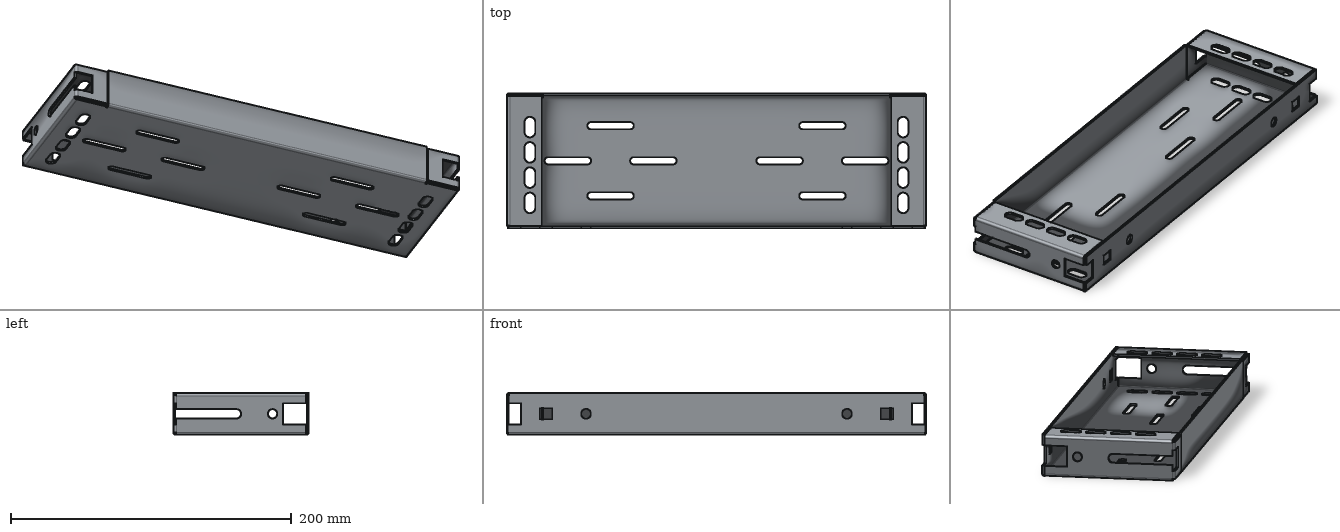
import cadquery as cq

LENGTH = 299.0
WIDTH = 96.5
HEIGHT = 30.0

SHEET = 1.5
INNER_BEND_RADIUS = 0.5
BEND_RADIUS = SHEET + INNER_BEND_RADIUS
FLANGE_DEPTH = 25.0
INNER_WIDTH = WIDTH - 2 * SHEET
PAN_WIDTH = WIDTH - 2 * BEND_RADIUS
MID_HEIGHT = HEIGHT / 2
FULL_X = (-LENGTH / 2, LENGTH / 2)
FULL_Y = (-WIDTH / 2, WIDTH / 2)

FRONT_UPPER_SETBACK = SHEET
FRONT_LOWER_SETBACK = 0.8

RELIEF_WIDTH = 1.0
RELIEF_DEPTH_IN_FLOOR = 1.0

FLOOR_SLOT_LENGTH = 33.0
FLOOR_SLOT_WIDTH = 5.0
FLOOR_SLOT_PITCH = 30.5
FLOOR_SLOT_INNER_X = 45.0
FLOOR_SLOT_ROW_Y = 25.0

END_SLOT_LENGTH = 14.5
END_SLOT_WIDTH = 7.5
END_SLOT_PITCH = 18.0
END_SLOT_COUNT = 4
END_SLOT_INSET = 16.5
END_SLOT_CENTER_Y = -3.0

FRONT_HOLE_DIAMETER = 7.0
FRONT_HOLE_X = 93.0
WINDOW_WIDTH = 9.0
WINDOW_HEIGHT = 8.0
WINDOW_X = 121.5

CORNER_NOTCH_HEIGHT = 15.0
FRONT_NOTCH_DEPTH = 10.0
BACK_NOTCH_DEPTH = 13.5
FRONT_NOTCH_EDGE_Y = -30.0
END_HOLE_DIAMETER = 6.5
END_HOLE_Y = -22.5
WALL_SLOT_HEIGHT = 6.5
WALL_SLOT_TIP_Y = 0.0


def block(x_range, y_range, z_range):
    """Axis-aligned box between the given limits."""
    size = [high - low for low, high in (x_range, y_range, z_range)]
    corner = (x_range[0], y_range[0], z_range[0])
    return cq.Workplane("XY").box(*size, centered=False).translate(corner)


def bent_wall(x_range):
    """Wall on the -Y side with the bend at its foot, over the given stretch of X."""
    outer = block(x_range, FULL_Y, (0, HEIGHT)).edges("|X and <Z").fillet(BEND_RADIUS)
    inner = block(x_range, (-INNER_WIDTH / 2, INNER_WIDTH / 2), (SHEET, HEIGHT))
    inner = inner.edges("|X and <Z").fillet(INNER_BEND_RADIUS)
    return outer.cut(inner).intersect(block(x_range, (-WIDTH / 2, -PAN_WIDTH / 2), (0, HEIGHT)))


def make_pan():
    """Floor, end walls and top flanges, folded in the XZ plane."""
    half_inside = LENGTH / 2 - SHEET
    half_opening = LENGTH / 2 - FLANGE_DEPTH
    across = (-PAN_WIDTH / 2, PAN_WIDTH / 2)
    outer = block(FULL_X, across, (0, HEIGHT)).edges("|Y").fillet(BEND_RADIUS)
    cavity = block((-half_inside, half_inside), across, (SHEET, HEIGHT - SHEET))
    cavity = cavity.edges("|Y").fillet(INNER_BEND_RADIUS)
    opening = block((-half_opening, half_opening), across, (MID_HEIGHT, HEIGHT))
    return outer.cut(cavity).cut(opening)


def make_front_wall():
    """Front wall and its bottom bend; above the corner notch its ends are set back further."""
    lower_half = LENGTH / 2 - FRONT_LOWER_SETBACK
    upper_half = LENGTH / 2 - FRONT_UPPER_SETBACK
    lower = bent_wall((-lower_half, lower_half)).intersect(block(FULL_X, FULL_Y, (0, MID_HEIGHT)))
    upper = bent_wall((-upper_half, upper_half)).intersect(block(FULL_X, FULL_Y, (MID_HEIGHT, HEIGHT)))
    return lower.union(upper)


def make_back_wall():
    """Back wall and its bottom bend, standing between the two relief cuts."""
    half_length = LENGTH / 2 - FLANGE_DEPTH - RELIEF_WIDTH
    return bent_wall((-half_length, half_length)).mirror("XZ")


def make_back_tab(side):
    """Tab folded off the end wall into the plane of the back wall, between floor and flange levels."""
    tab_z = (SHEET, HEIGHT - SHEET)
    half_inside = LENGTH / 2 - SHEET
    outer = block(FULL_X, FULL_Y, tab_z).edges("|Z").fillet(BEND_RADIUS)
    inner = block((-half_inside, half_inside), (-INNER_WIDTH / 2, INNER_WIDTH / 2), tab_z)
    shell = outer.cut(inner.edges("|Z").fillet(INNER_BEND_RADIUS))
    x_range = sorted((side * LENGTH / 2, side * (LENGTH / 2 - FLANGE_DEPTH)))
    return shell.intersect(block(x_range, (PAN_WIDTH / 2, WIDTH / 2), tab_z))


def floor_relief(side):
    """Small notch in the floor edge at the foot of a relief cut."""
    outer_x = LENGTH / 2 - FLANGE_DEPTH
    x_range = sorted((side * outer_x, side * (outer_x - RELIEF_WIDTH)))
    return block(x_range, (PAN_WIDTH / 2 - RELIEF_DEPTH_IN_FLOOR, PAN_WIDTH / 2), (0, SHEET))


def floor_slots(side):
    """Diamond of four long slots in one half of the floor."""
    inner_x = side * FLOOR_SLOT_INNER_X
    middle_x = side * (FLOOR_SLOT_INNER_X + FLOOR_SLOT_PITCH)
    outer_x = side * (FLOOR_SLOT_INNER_X + 2 * FLOOR_SLOT_PITCH)
    centers = [
        (inner_x, 0),
        (outer_x, 0),
        (middle_x, FLOOR_SLOT_ROW_Y),
        (middle_x, -FLOOR_SLOT_ROW_Y),
    ]
    slots = cq.Workplane("XY").pushPoints(centers).slot2D(FLOOR_SLOT_LENGTH, FLOOR_SLOT_WIDTH)
    return slots.extrude(SHEET)


def end_slots(side):
    """Row of short slots passing through both the flange and the floor."""
    row = cq.Workplane("XY", origin=(side * (LENGTH / 2 - END_SLOT_INSET), END_SLOT_CENTER_Y, 0))
    row = row.rarray(1, END_SLOT_PITCH, 1, END_SLOT_COUNT)
    return row.slot2D(END_SLOT_LENGTH, END_SLOT_WIDTH, 90).extrude(HEIGHT)


def front_holes(side):
    """Round hole and rectangular window in the front wall."""
    plane = cq.Workplane("XZ", origin=(0, -INNER_WIDTH / 2, MID_HEIGHT))
    hole = plane.center(side * FRONT_HOLE_X, 0).circle(FRONT_HOLE_DIAMETER / 2).extrude(SHEET)
    window = plane.center(side * WINDOW_X, 0).rect(WINDOW_WIDTH, WINDOW_HEIGHT).extrude(SHEET)
    return hole.union(window)


def end_openings(side):
    """Corner notches, round hole and open-ended slot at one end of the tray."""
    x_range = sorted((side * LENGTH / 2, side * (LENGTH / 2 - FRONT_NOTCH_DEPTH)))
    back_x_range = sorted((side * LENGTH / 2, side * (LENGTH / 2 - BACK_NOTCH_DEPTH)))
    notch_z = (MID_HEIGHT - CORNER_NOTCH_HEIGHT / 2, MID_HEIGHT + CORNER_NOTCH_HEIGHT / 2)
    slot_z = (MID_HEIGHT - WALL_SLOT_HEIGHT / 2, MID_HEIGHT + WALL_SLOT_HEIGHT / 2)
    slot_round_y = WALL_SLOT_TIP_Y + WALL_SLOT_HEIGHT / 2

    front_notch = block(x_range, (-WIDTH / 2, FRONT_NOTCH_EDGE_Y), notch_z)
    back_notch = block(back_x_range, (PAN_WIDTH / 2, WIDTH / 2), notch_z)
    slot = block(x_range, (slot_round_y, WIDTH / 2), slot_z)
    rounds = (
        cq.Workplane("YZ", origin=(x_range[0], 0, MID_HEIGHT))
        .pushPoints([(slot_round_y, 0)])
        .circle(WALL_SLOT_HEIGHT / 2)
        .pushPoints([(END_HOLE_Y, 0)])
        .circle(END_HOLE_DIAMETER / 2)
        .extrude(FRONT_NOTCH_DEPTH)
    )
    return front_notch.union(back_notch).union(slot).union(rounds)


result = make_pan().union(make_front_wall()).union(make_back_wall())
for end in (-1, 1):
    result = result.union(make_back_tab(end))
for end in (-1, 1):
    result = result.cut(floor_relief(end)).cut(floor_slots(end)).cut(end_slots(end))
    result = result.cut(front_holes(end)).cut(end_openings(end))